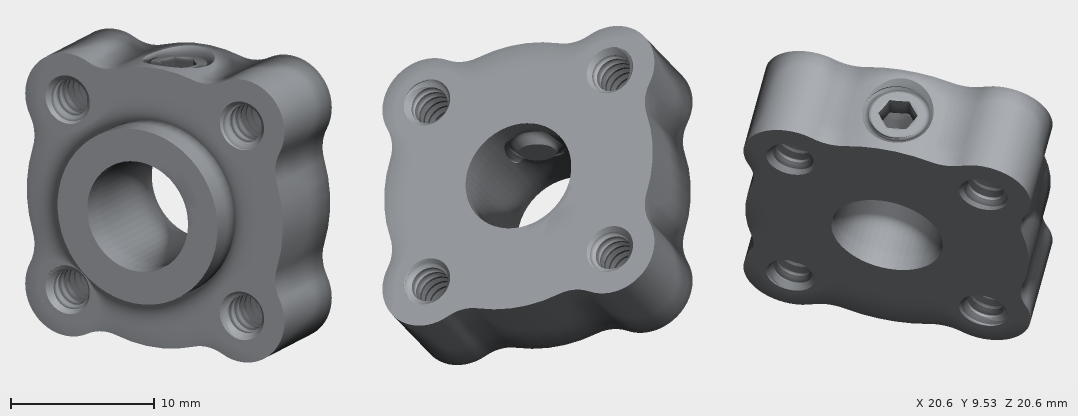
import cadquery as cq
import math

INCH = 25.4

plate_thickness = 0.275 * INCH
boss_height = 0.100 * INCH
boss_diameter = 0.500 * INCH
bore_diameter = 8.0
hole_circle_diameter = 0.770 * INCH
lobe_radius = 3.37
side_radius = 0.400 * INCH
valley_radius = 3.0

thread_pitch = INCH / 32
corner_thread_diameter = 0.138 * INCH
corner_thread_turns = 12
corner_thread_start = 0.0
set_thread_diameter = 0.190 * INCH
set_thread_turns = 12
set_thread_start = -75.0
core_extra_turns = 2
core_seam_angle = 37.0
ridge_embed = 0.1
countersink_radius = 2.78

screw_tip_z = 3.33
screw_length = 0.250 * INCH
screw_tip_radius = 1.325
screw_top_radius = 1.92
screw_top_slope = 30.0
blank_margin = 0.5
socket_width = 3 / 32 * INCH
socket_depth = 1.5
socket_mouth_depth = 0.4
socket_turn = 8.0
drill_point_angle = 118.0

hole_offset = hole_circle_diameter / 2 / math.sqrt(2)
screw_y = plate_thickness / 2
screw_top_z = screw_tip_z + screw_length
overrun = 1.0


def minor_radius(major_diameter):
    """Crest radius of a 60 degree internal thread."""
    return major_diameter / 2 - 5 / 8 * math.sqrt(3) / 2 * thread_pitch


def threaded_rod(major_diameter, turns, start_angle):
    """Rod along +Z with a helical 60 degree ridge that starts at the origin's height.

    The plain core reaches past the ridge at both ends.
    """
    major = major_diameter / 2
    minor = minor_radius(major_diameter)
    root = minor - ridge_embed
    half_crest = thread_pitch / 16
    half_base = half_crest + (major - root) * math.tan(math.pi / 6)
    helix = cq.Wire.makeHelix(thread_pitch, turns * thread_pitch, minor)
    ridge = (
        cq.Workplane("XZ")
        .polyline([
            (root, -half_base),
            (major, -half_crest),
            (major, half_crest),
            (root, half_base),
        ])
        .close()
        .sweep(cq.Workplane(helix), isFrenet=True)
    )
    core_length = (turns + 2 * core_extra_turns) * thread_pitch
    core = (
        cq.Workplane("XY", origin=(0, 0, -core_extra_turns * thread_pitch))
        .circle(minor)
        .extrude(core_length)
        .rotate((0, 0, 0), (0, 0, 1), core_seam_angle)
    )
    return core.union(ridge).rotate((0, 0, 0), (0, 0, 1), start_angle)


def cone_tip(radius, height):
    """Cone with its base in the XY plane and its tip below the origin."""
    return cq.Workplane(cq.Solid.makeCone(0, radius, height)).translate((0, 0, -height))


def countersink_cone(radius):
    """90 degree cone, tip down, that has the given radius at the origin and goes on above it."""
    top_radius = radius + overrun
    return cone_tip(top_radius, top_radius).translate((0, 0, overrun))


def quarter_turn(point, quarters):
    """Turn an XZ point about the bore axis by a number of quarter turns."""
    angle = quarters * math.pi / 2
    return (
        point[0] * math.cos(angle) - point[1] * math.sin(angle),
        point[0] * math.sin(angle) + point[1] * math.cos(angle),
    )


def toward(start, end, distance):
    """Point at a distance from start on the line to end."""
    scale = distance / math.dist(start, end)
    return (start[0] + scale * (end[0] - start[0]), start[1] + scale * (end[1] - start[1]))


def plate_profile():
    """Closed outline of four lobes and four bulged sides, joined by hollow valleys."""
    center = (0, 0)
    lobe = (hole_offset, hole_offset)
    lobe_distance = math.hypot(*lobe)
    valley_to_center = side_radius + valley_radius
    valley_to_lobe = lobe_radius + valley_radius
    cosine = (valley_to_center**2 + lobe_distance**2 - valley_to_lobe**2) / (
        2 * valley_to_center * lobe_distance
    )
    valley_angle = math.pi / 4 + math.acos(cosine)
    valley = (valley_to_center * math.cos(valley_angle), valley_to_center * math.sin(valley_angle))
    valley_bottom = toward(valley, toward(center, lobe, lobe_distance - lobe_radius), valley_radius)
    lobe_end = toward(lobe, valley, lobe_radius)
    side_start = toward(center, valley, side_radius)

    def mirrored(point):
        return (-point[0], point[1])

    lobe_tip = toward(center, lobe, lobe_distance + lobe_radius)
    outline = cq.Workplane("XZ").moveTo(lobe_end[1], lobe_end[0])
    for quarters in range(4):
        arcs = [
            (lobe_tip, lobe_end),
            (valley_bottom, side_start),
            ((0, side_radius), mirrored(side_start)),
            (mirrored(valley_bottom), mirrored(lobe_end)),
        ]
        for middle, end in arcs:
            outline = outline.threePointArc(quarter_turn(middle, quarters), quarter_turn(end, quarters))
    return outline.close()


def cut_corner_holes(plate):
    """Threaded holes through the lobes, with a chamfered mouth on each face of the plate."""
    rod = threaded_rod(corner_thread_diameter, corner_thread_turns, corner_thread_start)
    rod = rod.rotate((0, 0, 0), (1, 0, 0), -90)
    rod_y = (plate_thickness - corner_thread_turns * thread_pitch) / 2
    mouth_radius = corner_thread_diameter / 2
    front_mouth = countersink_cone(mouth_radius).rotate((0, 0, 0), (1, 0, 0), 90)
    back_mouth = countersink_cone(mouth_radius).rotate((0, 0, 0), (1, 0, 0), -90)
    hole = rod.translate((0, rod_y, 0))
    hole_tools = [
        hole.translate((-hole_offset, 0, -hole_offset)),
        front_mouth.translate((-hole_offset, 0, -hole_offset)),
        back_mouth.translate((-hole_offset, plate_thickness, -hole_offset)),
    ]
    for quarters in range(4):
        for tool in hole_tools:
            plate = plate.cut(tool.rotate((0, 0, 0), (0, 1, 0), 90 * quarters))
    return plate


def set_screw_thread():
    """Threaded rod on the set screw axis, from inside the bore to past the plate."""
    rod = threaded_rod(set_thread_diameter, set_thread_turns, set_thread_start)
    return rod.translate((0, screw_y, screw_tip_z - thread_pitch))


def make_hub(set_thread):
    hub = cut_corner_holes(plate_profile().extrude(-plate_thickness))
    hub = hub.union(cq.Workplane("XZ").circle(boss_diameter / 2).extrude(boss_height))
    hub = hub.cut(set_thread)
    hub = hub.cut(countersink_cone(countersink_radius).translate((0, screw_y, side_radius)))
    bore = cq.Workplane("XZ", origin=(0, -boss_height, 0)).circle(bore_diameter / 2)
    return hub.cut(bore.extrude(-boss_height - plate_thickness))


def make_set_screw(set_thread):
    """Threaded screw with chamfered ends and a hexagon socket."""
    blank_radius = set_thread_diameter / 2 + blank_margin
    tip_cone_height = blank_radius - screw_tip_radius
    top_cone_height = (blank_radius - screw_top_radius) * math.tan(math.radians(screw_top_slope))
    blank = (
        cq.Workplane("XZ")
        .polyline([
            (0, screw_tip_z),
            (screw_tip_radius, screw_tip_z),
            (blank_radius, screw_tip_z + tip_cone_height),
            (blank_radius, screw_top_z - top_cone_height),
            (screw_top_radius, screw_top_z),
            (0, screw_top_z),
        ])
        .close()
        .revolve(360, (0, 0), (0, 1))
        .translate((0, screw_y, 0))
    )
    screw = set_thread.intersect(blank)
    flat_radius = socket_width / 2
    corner_radius = flat_radius / math.cos(math.pi / 6)
    point_depth = flat_radius / math.tan(math.radians(drill_point_angle / 2))
    socket = cq.Workplane("XY").polygon(6, 2 * corner_radius).extrude(-socket_depth)
    socket = socket.union(cone_tip(flat_radius, point_depth).translate((0, 0, -socket_depth)))
    socket = socket.union(cone_tip(corner_radius, socket_mouth_depth))
    socket = socket.rotate((0, 0, 0), (0, 0, 1), socket_turn)
    return screw.cut(socket.translate((0, screw_y, screw_top_z)))


set_thread = set_screw_thread()
hub = make_hub(set_thread)
set_screw = make_set_screw(set_thread)

result = cq.Compound.makeCompound([*hub.solids().vals(), *set_screw.solids().vals()])